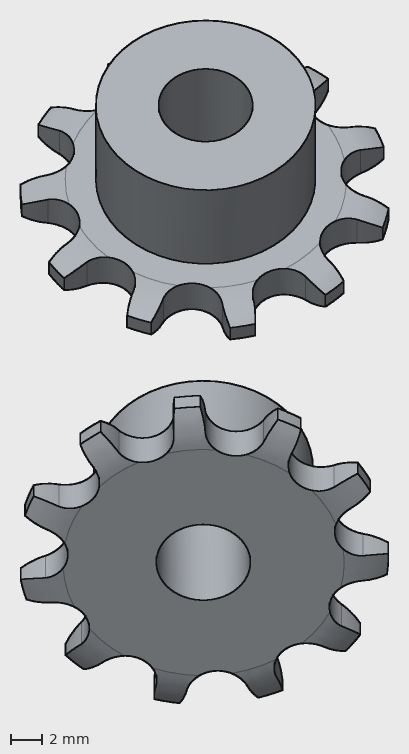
import cadquery as cq
import math

tooth_count = 11
pitch_diameter = 21.3
roller_diameter = 4.0
tip_diameter = 23.6
tooth_tip_width = 1.65
seat_half_angle = 71.0
flank_radius = 6.24
plate_thickness = 2.61
crown_start_diameter = 17.93
crown_radius = 6.0
hub_diameter = 14.0
total_height = 10.0
bore_diameter = 6.0

pitch_radius = pitch_diameter / 2
roller_radius = roller_diameter / 2
tip_radius = tip_diameter / 2
crown_start = crown_start_diameter / 2
tooth_step = 360 / tooth_count
first_gap_angle = 90 + tooth_step / 2
cut_margin = 1.18


def polar(radius, angle):
    """Point at a radius and an angle in degrees."""
    return (radius * math.cos(math.radians(angle)), radius * math.sin(math.radians(angle)))


def mirror_y(point):
    return (point[0], -point[1])


def crown_drop(radius):
    """Depth of the crowned side below the flat face at a given radius."""
    return crown_radius - math.sqrt(crown_radius**2 - (radius - crown_start) ** 2)


def make_plate():
    """Disc whose rim narrows along a tangent arc on both faces."""
    middle_radius = (crown_start + tip_radius) / 2
    middle_drop = crown_drop(middle_radius)
    tip_drop = crown_drop(tip_radius)
    return (
        cq.Workplane("XZ")
        .lineTo(crown_start, 0)
        .threePointArc((middle_radius, middle_drop), (tip_radius, tip_drop))
        .lineTo(tip_radius, plate_thickness - tip_drop)
        .threePointArc((middle_radius, plate_thickness - middle_drop), (crown_start, plate_thickness))
        .lineTo(0, plate_thickness)
        .close()
        .revolve(360, (0, 0, 0), (0, 1, 0))
    )


def make_gap():
    """Cutter for one tooth gap on +X: round roller seat and two convex flanks."""
    seat_bottom = (pitch_radius - roller_radius, 0)
    seat_offset = polar(roller_radius, 180 - seat_half_angle)
    seat_end = (pitch_radius + seat_offset[0], seat_offset[1])
    tooth_half_angle = math.degrees(math.asin(tooth_tip_width / tip_diameter))
    tip_corner = polar(tip_radius, tooth_step / 2 - tooth_half_angle)
    outer_corner = (tip_radius + cut_margin, tip_corner[1])
    return (
        cq.Workplane("XY", origin=(0, 0, -cut_margin))
        .moveTo(*mirror_y(seat_end))
        .threePointArc(seat_bottom, seat_end)
        .radiusArc(tip_corner, -flank_radius)
        .lineTo(*outer_corner)
        .lineTo(*mirror_y(outer_corner))
        .lineTo(*mirror_y(tip_corner))
        .radiusArc(mirror_y(seat_end), -flank_radius)
        .close()
        .extrude(plate_thickness + 2 * cut_margin)
    )


sprocket = make_plate()
gap = make_gap()
for index in range(tooth_count):
    gap_angle = first_gap_angle + index * tooth_step
    sprocket = sprocket.cut(gap.rotate((0, 0, 0), (0, 0, 1), gap_angle))

hub = cq.Workplane("XY").circle(hub_diameter / 2).extrude(total_height)
bore = cq.Workplane("XY").circle(bore_diameter / 2).extrude(total_height)
result = sprocket.union(hub).cut(bore)